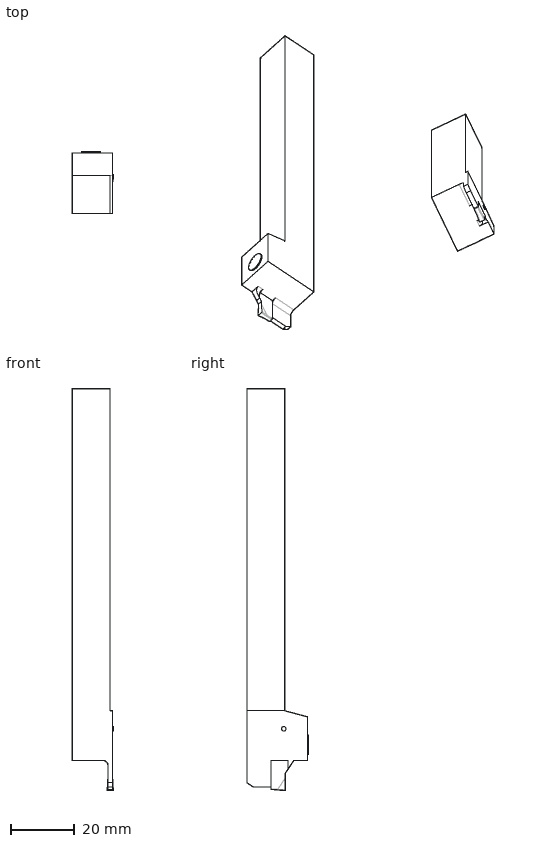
import cadquery as cq
import math


total_height = 126.4
shank_right = 12.0
shank_depth = 12.0
head_depth = 19.1
head_bottom = 9.5
head_top = 25.1
head_rear_top = 23.2
side_taper = 0.06

blade_width = 1.5
head_right = 12.8
blade_left = head_right - blade_width
blade_center = head_right - blade_width / 2
blade_bottom = 1.1
blade_chamfer_depth = 2.0
blade_chamfer_height = 1.4
root_radius = 1.5

jaw_rear = 14.8
jaw_slope = 1.5
seat_front = 7.6
seat_rear = 12.9

tip_width = 2.0
tip_y = 12.1
tip_relief_angle = 5.0
tip_radius = 0.3
flare_height = 4.0

boss_diameter = 6.1
boss_height = 0.4
boss_x = 6.0
boss_z = 14.4

stud_diameter = 1.4
stud_height = 0.3
stud_y = 11.6
stud_z = 19.5


def side_prism(points, left, right):
    """Extrude a (y, z) outline along X from left to right."""
    return cq.Workplane("YZ", origin=(left, 0, 0)).polyline(points).close().extrude(right - left)


def jaw_line_z(y):
    """Height of the sloping jaw edge at a given depth."""
    return head_bottom - jaw_slope * (jaw_rear - y)


def make_shank_and_head():
    shank = cq.Workplane("XY").box(
        shank_right, shank_depth, total_height - head_bottom, centered=False
    ).translate((0, 0, head_bottom))
    head_outline = [
        (0, head_bottom),
        (head_depth, head_bottom),
        (head_depth, head_rear_top),
        (shank_depth, head_top),
        (0, head_top),
    ]
    body = shank.union(side_prism(head_outline, 0, head_right))
    taper = (
        cq.Workplane("XY")
        .polyline([(0, 0), (side_taper, 0), (0, head_depth)])
        .close()
        .extrude(total_height)
    )
    return body.cut(taper)


def make_blade():
    outline = [
        (0, head_bottom),
        (0, blade_bottom + blade_chamfer_height),
        (blade_chamfer_depth, blade_bottom),
        (seat_front, blade_bottom),
        (seat_front, head_bottom),
    ]
    return side_prism(outline, blade_left, head_right)


def make_jaw():
    outline = [
        (seat_rear, head_bottom),
        (seat_rear, jaw_line_z(seat_rear)),
        (jaw_rear, head_bottom),
    ]
    return side_prism(outline, blade_left, head_right)


def make_root_fillet(blade_part):
    """Concave fillet between the head and the left side of a blade part, as deep as that part."""
    start = blade_left - root_radius
    mid_shift = root_radius * math.sqrt(0.5)
    profile = (
        cq.Workplane("XZ")
        .moveTo(start, head_bottom)
        .threePointArc(
            (start + mid_shift, head_bottom - root_radius + mid_shift),
            (blade_left, head_bottom - root_radius),
        )
        .lineTo(blade_left, head_bottom)
        .close()
        .extrude(-jaw_rear)
    )
    part_beside = blade_part.translate((-blade_width, 0, 0))
    return profile.intersect(part_beside)


def make_boss():
    return (
        cq.Workplane("XZ", origin=(boss_x, head_depth, boss_z))
        .circle(boss_diameter / 2)
        .extrude(-boss_height)
    )


def make_stud():
    return (
        cq.Workplane("YZ", origin=(head_right, stud_y, stud_z))
        .circle(stud_diameter / 2)
        .extrude(stud_height)
    )


def make_holder():
    blade = make_blade()
    jaw = make_jaw()
    holder = make_shank_and_head()
    for feature in (blade, jaw, make_boss(), make_stud()):
        holder = holder.union(feature)
    for blade_part in (blade, jaw):
        holder = holder.union(make_root_fillet(blade_part))
    return holder


def make_insert():
    tip_rise = (tip_y - seat_front) * math.tan(math.radians(tip_relief_angle))
    outline = [
        (seat_front, head_bottom),
        (seat_front, tip_rise),
        (tip_y, 0),
        (tip_y, jaw_line_z(tip_y)),
        (seat_rear, jaw_line_z(seat_rear)),
        (seat_rear, head_bottom),
    ]
    core = side_prism(outline, blade_left, head_right)
    tip_left = blade_center - tip_width / 2
    tip_right = blade_center + tip_width / 2
    tip_envelope = side_prism(outline, tip_left, tip_right)

    keystone = cq.Wire.makePolygon(
        [
            cq.Vector(blade_left, tip_y, flare_height),
            cq.Vector(head_right, tip_y, flare_height),
            cq.Vector(tip_right, tip_y, 0),
            cq.Vector(tip_left, tip_y, 0),
        ],
        close=True,
    )
    run = tip_y - seat_front
    sweep = cq.Vector(0, -run, -jaw_slope * run)
    flare = cq.Workplane(cq.Solid.extrudeLinear(keystone, [], sweep))
    body = core.union(flare.intersect(tip_envelope))
    return body.faces("<Z").edges("not |X").fillet(tip_radius)


holder = make_holder()
insert = make_insert()

result = cq.Compound.makeCompound([holder.solids().val(), insert.solids().val()])